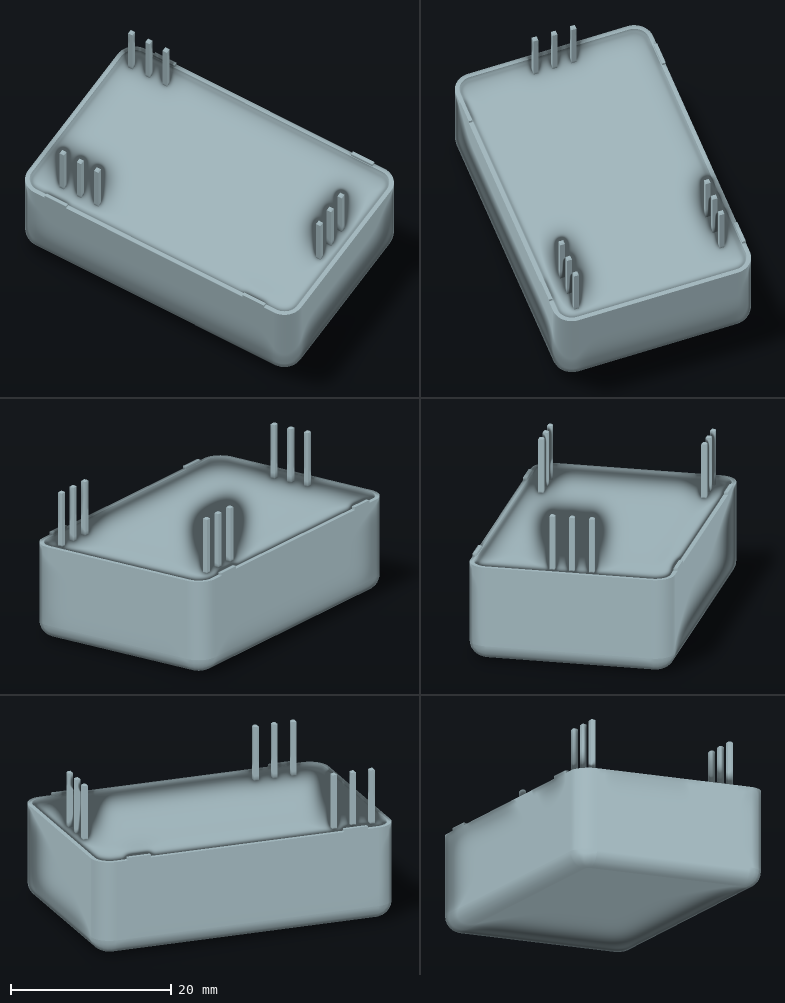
import cadquery as cq

LENGTH = 40.2
WIDTH = 26.2
TOTAL_HEIGHT = 19.3

CASE_HEIGHT = 12.42
CORNER_RADIUS = 2.5
BOTTOM_FILLET = 2.0
WALL = 0.5
FOOT_HEIGHT = 0.35
FOOT_LENGTH = 3.15
FOOT_OFFSET_X = 14.55

LIP_WIDTH = 0.1
DISH_RADIUS = 0.45

OUTER_COLUMN = 7
OUTER_COLUMN_X = 17.75
PIN_PITCH = OUTER_COLUMN_X / OUTER_COLUMN
PIN_SIDE = 0.65
PIN_TIP_CHAMFER = 0.15
PIN_GRID = [
    (-OUTER_COLUMN, 4), (-6, 4), (-5, 4),
    (-6, -4), (-5, -4), (-4, -4),
    (OUTER_COLUMN, -1), (OUTER_COLUMN, 0), (OUTER_COLUMN, 1),
]

CAVITY_FLOOR = WALL
DISH_FLOOR = CASE_HEIGHT - DISH_RADIUS


def rounded_block(inset, bottom, top):
    """Block between two heights, inset evenly from the case outline."""
    return (
        cq.Workplane("XY", origin=(0, 0, bottom))
        .rect(LENGTH - 2 * inset, WIDTH - 2 * inset)
        .extrude(top - bottom)
        .edges("|Z")
        .fillet(CORNER_RADIUS - inset)
    )


def make_filling():
    """Inner space of the tub, which keeps an even wall around the rounded bottom edge."""
    block = rounded_block(WALL, CAVITY_FLOOR, CASE_HEIGHT)
    return block.faces("<Z").edges().fillet(BOTTOM_FILLET - WALL)


def make_foot(x, side):
    """Low foot on the rim of one long wall, flush with both wall faces."""
    y = side * (WIDTH - WALL) / 2
    return cq.Workplane("XY", origin=(x, y, CASE_HEIGHT)).box(
        FOOT_LENGTH, WALL, FOOT_HEIGHT, centered=(True, True, False)
    )


def make_case():
    case = rounded_block(0, 0, CASE_HEIGHT).faces("<Z").edges().fillet(BOTTOM_FILLET)
    case = case.cut(make_filling())
    for side in (-1, 1):
        for x in (-FOOT_OFFSET_X, FOOT_OFFSET_X):
            case = case.union(make_foot(x, side))
    return case


def make_dish():
    """Space above the dished top: a flat floor that curves up to the lip, open above the rim."""
    block = rounded_block(WALL + LIP_WIDTH, DISH_FLOOR, TOTAL_HEIGHT)
    return block.faces("<Z").edges().fillet(DISH_RADIUS)


def make_pin(column, row):
    """Square pin from the dish floor up, with a chamfered tip."""
    return (
        cq.Workplane("XY", origin=(column * PIN_PITCH, row * PIN_PITCH, DISH_FLOOR))
        .rect(PIN_SIDE, PIN_SIDE)
        .extrude(TOTAL_HEIGHT - DISH_FLOOR)
        .faces(">Z")
        .chamfer(PIN_TIP_CHAMFER)
    )


def make_potting():
    """Potting block with its dished top and the pins cast into it."""
    potting = make_filling().cut(make_dish())
    for column, row in PIN_GRID:
        potting = potting.union(make_pin(column, row))
    return potting


case = make_case()
potting = make_potting()
result = cq.Compound.makeCompound([case.val(), potting.val()])